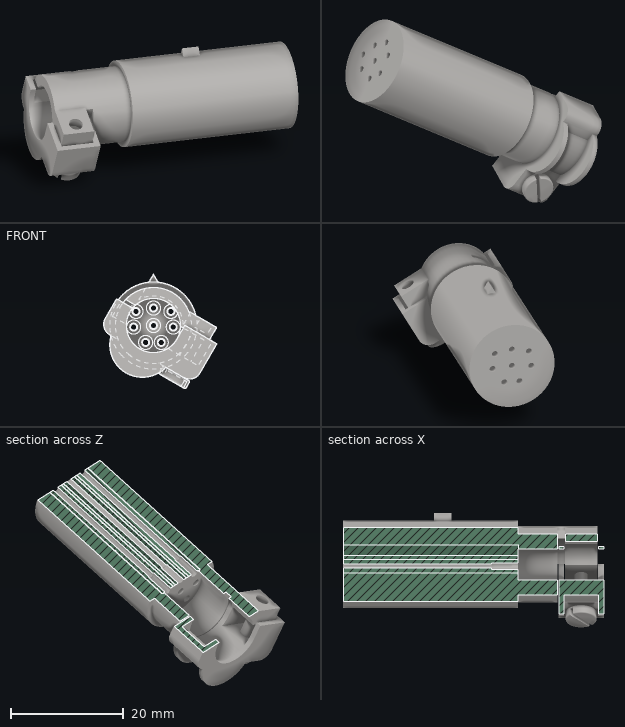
import cadquery as cq
import math

LENGTH = 46.2
BARREL_DIA = 15.5
BARREL_START = 15.25
NECK_DIA = 13.5
NECK_START = 8.22
BORE_DIA = 9.6
BORE_RADIUS = BORE_DIA / 2

RIDGE_TOP = 9.1
RIDGE_START = 27.05
RIDGE_LENGTH = 3.1
RIDGE_HALF_ANGLE = math.radians(30.0)
RIDGE_HEIGHT = 1.85

CLAMP_TURN = math.radians(30.0)
ACROSS = (math.cos(CLAMP_TURN), 0, -math.sin(CLAMP_TURN))
UP = (math.sin(CLAMP_TURN), 0, math.cos(CLAMP_TURN))

CLAMP_WIDTH = 8.05
CLAMP_LEFT = -8.05
CLAMP_RIGHT = 11.35
CLAMP_BOTTOM = -5.3
LEFT_TOP = 0.85
RIGHT_TOP = 2.8
CORNER_RADIUS = 2.13
CHEEK = 1.0
SIDE_WALL = 0.92
POCKET_FLOOR = -2.2
CHEEK_DISC_DIA = 11.6
CHEEK_DISC_DROP = 3.95

SADDLE_START = 1.15
SADDLE_BOTTOM = 1.52
LUG_END = 9.9
LUG_BOTTOM = 2.25
LUG_TOP = 5.3
CHEEK_SLOT_START = 6.85
BRIDGE_HALF_WIDTH = 4.55
BRIDGE_BORE_DIA = 10.55

SCREW_ACROSS = 7.8
SCREW_DIA = 2.3
SCREW_TIP = 3.4
SCREW_HEAD_DIA = 5.5
SCREW_HEAD_HEIGHT = 1.6
SCREW_HEAD_EDGE = 0.25
DRIVER_SLOT_WIDTH = 0.75
DRIVER_SLOT_DEPTH = 1.25
DRIVER_SLOT_TURN = -40.0
LUG_HOLE_DIA = 2.5

CONTACT_DIA = 2.5
CUP_DIA = 1.4
CUP_DEPTH = 4.6
CONTACT_BORE_DIA = 1.1
CENTRE_CONTACTS = [(0, 0), (0, 3.1)]
PAIRED_CONTACTS = [(3.1, 2.5), (3.5, -0.3), (1.4, -3.0)]


def section(y):
    """Cross-section plane at the given Y, upright."""
    return cq.Workplane(cq.Plane(origin=(0, y, 0), xDir=(1, 0, 0), normal=(0, -1, 0)))


def clamp_section(y):
    """Cross-section plane at the given Y, in the clamp's turned frame."""
    return cq.Workplane(cq.Plane(origin=(0, y, 0), xDir=ACROSS, normal=(0, -1, 0)))


def clamp_point(across, up, y):
    """Point at the given place in the clamp's frame."""
    return (across * ACROSS[0] + up * UP[0], y, across * ACROSS[2] + up * UP[2])


def rod(y_start, y_end, diameter, x=0, z=0):
    """Cylinder along Y centred at the given X and Z."""
    return section(y_start).center(x, z).circle(diameter / 2).extrude(y_start - y_end)


def clamp_block(left, right, bottom, top, y_start, y_end):
    """Rectangular block given by its limits in the clamp's frame."""
    outline = clamp_section(y_start).moveTo(left, bottom).lineTo(right, bottom)
    return outline.lineTo(right, top).lineTo(left, top).close().extrude(y_start - y_end)


def cable_opening(y_start, y_end):
    """U-shaped passage: round below the main axis, straight-sided above it."""
    channel = clamp_block(-BORE_RADIUS, BORE_RADIUS, 0, LUG_TOP, y_start, y_end)
    return channel.union(rod(y_start, y_end, BORE_DIA))


def make_barrel():
    barrel = rod(BARREL_START, LENGTH, BARREL_DIA)
    half_base = RIDGE_HEIGHT * math.tan(RIDGE_HALF_ANGLE)
    ridge_base = RIDGE_TOP - RIDGE_HEIGHT
    ridge = section(RIDGE_START).moveTo(-half_base, ridge_base).lineTo(half_base, ridge_base)
    ridge = ridge.lineTo(0, RIDGE_TOP).close().extrude(-RIDGE_LENGTH)
    return barrel.union(ridge)


def make_neck():
    """Neck whose upper part runs on over the clamp as a saddle with a screw lug."""
    radius = NECK_DIA / 2
    neck = rod(SADDLE_START, BARREL_START, NECK_DIA)
    below_left = clamp_block(-radius, 0, -radius, SADDLE_BOTTOM, SADDLE_START, NECK_START)
    below_right = clamp_block(0, radius, -radius, LUG_BOTTOM, SADDLE_START, NECK_START)
    lug = clamp_block(0, LUG_END, LUG_BOTTOM, LUG_TOP, SADDLE_START, CHEEK_SLOT_START)
    neck = neck.cut(below_left).cut(below_right).union(lug)
    neck = neck.cut(rod(SADDLE_START, BARREL_START, BORE_DIA))
    for side in (-1, 1):
        slot = clamp_block(side * BRIDGE_HALF_WIDTH, side * radius, -radius, radius,
                           CHEEK_SLOT_START, NECK_START)
        neck = neck.cut(slot)
    return neck.cut(rod(CHEEK_SLOT_START, NECK_START, BRIDGE_BORE_DIA))


def make_clamp():
    outline = clamp_section(0).moveTo(CLAMP_LEFT, LEFT_TOP)
    outline = outline.lineTo(CLAMP_LEFT, CLAMP_BOTTOM).lineTo(CLAMP_RIGHT, CLAMP_BOTTOM)
    outline = outline.lineTo(CLAMP_RIGHT, RIGHT_TOP).lineTo(0, RIGHT_TOP).lineTo(0, LEFT_TOP).close()
    clamp = outline.extrude(-CLAMP_WIDTH)
    for corner in (CLAMP_LEFT, CLAMP_RIGHT):
        edge_middle = clamp_point(corner, CLAMP_BOTTOM, CLAMP_WIDTH / 2)
        clamp = clamp.edges(cq.selectors.NearestToPointSelector(edge_middle)).fillet(CORNER_RADIUS)

    below_clamp = clamp_block(-NECK_DIA, NECK_DIA, -NECK_DIA, CLAMP_BOTTOM, 0, CLAMP_WIDTH)
    clamp = clamp.union(rod(0, CLAMP_WIDTH, NECK_DIA).intersect(below_clamp))
    for y in (0, CLAMP_WIDTH - CHEEK):
        disc = clamp_section(y).center(0, -CHEEK_DISC_DROP).circle(CHEEK_DISC_DIA / 2).extrude(-CHEEK)
        clamp = clamp.union(disc)

    pocket = clamp_block(CLAMP_LEFT + SIDE_WALL, CLAMP_RIGHT - SIDE_WALL, POCKET_FLOOR, LUG_TOP,
                         CHEEK, CLAMP_WIDTH - CHEEK)
    return clamp.cut(pocket).cut(cable_opening(0, CLAMP_WIDTH))


def screw_section(up):
    """Plane across the screw at the given height, facing up its axis."""
    centre = clamp_point(SCREW_ACROSS, up, CLAMP_WIDTH / 2)
    return cq.Workplane(cq.Plane(origin=centre, xDir=(0, 1, 0), normal=UP))


def make_screw():
    head_bottom = CLAMP_BOTTOM - SCREW_HEAD_HEIGHT
    head = screw_section(head_bottom).circle(SCREW_HEAD_DIA / 2).extrude(SCREW_HEAD_HEIGHT)
    head = head.edges().fillet(SCREW_HEAD_EDGE)
    slot = screw_section(head_bottom).transformed(rotate=(0, 0, DRIVER_SLOT_TURN))
    slot = slot.rect(DRIVER_SLOT_WIDTH, 2 * SCREW_HEAD_DIA).extrude(DRIVER_SLOT_DEPTH)
    shank = screw_section(CLAMP_BOTTOM).circle(SCREW_DIA / 2).extrude(SCREW_TIP - CLAMP_BOTTOM)
    return head.cut(slot).union(shank)


def make_shell():
    """Barrel, neck, clamp and screw as one solid, with a hole for each contact."""
    lug_hole = screw_section(SCREW_TIP).circle(LUG_HOLE_DIA / 2).extrude(LUG_TOP - SCREW_TIP)
    shell = make_barrel().union(make_neck().cut(lug_hole))
    shell = shell.union(make_clamp()).union(make_screw())
    for x, z in contact_places:
        shell = shell.cut(rod(BARREL_START, LENGTH, CONTACT_DIA, x, z))
    return shell


def make_contact(x, z):
    """Tube with a wider solder cup at its clamp end."""
    contact = rod(BARREL_START, LENGTH, CONTACT_DIA, x, z)
    contact = contact.cut(rod(BARREL_START, LENGTH, CONTACT_BORE_DIA, x, z))
    return contact.cut(rod(BARREL_START, BARREL_START + CUP_DEPTH, CUP_DIA, x, z))


contact_places = list(CENTRE_CONTACTS)
for x, z in PAIRED_CONTACTS:
    contact_places += [(x, z), (-x, z)]

shell = make_shell()
contacts = [make_contact(x, z) for x, z in contact_places]
result = cq.Compound.makeCompound([shell.val(), *(contact.val() for contact in contacts)])